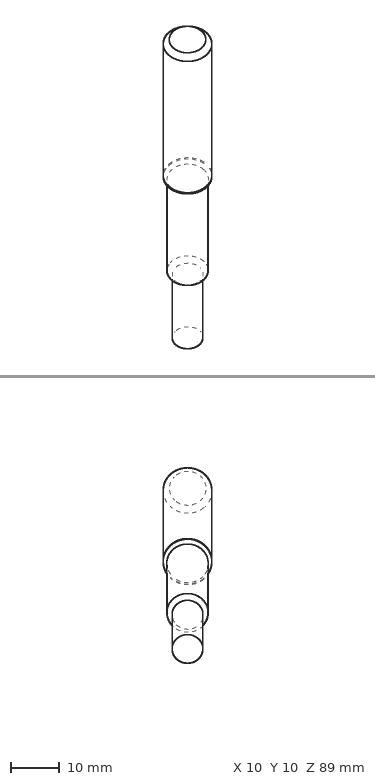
import cadquery as cq

total_length = 89.0
shank_length = 40.05
collar_length = 0.4
body_end_z = 20.7
point_height = 0.9

shank_diameter = 10.0
body_diameter = 8.45
pilot_diameter = 6.3

top_chamfer = 1.25

shank_radius = shank_diameter / 2
body_radius = body_diameter / 2
pilot_radius = pilot_diameter / 2

shank_taper = shank_radius - body_radius
body_taper = body_radius - pilot_radius

split_z = total_length - shank_length
collar_end_z = split_z - collar_length


def make_shank():
    """Plain cylindrical shank with a chamfered upper end."""
    return (
        cq.Workplane("XY")
        .workplane(offset=split_z)
        .circle(shank_radius)
        .extrude(shank_length)
        .faces(">Z")
        .chamfer(top_chamfer)
    )


def make_step_drill():
    """Stepped cutting end: collar, two tapered shoulders, the pilot and its point."""
    return (
        cq.Workplane("XZ")
        .lineTo(pilot_radius, point_height)
        .lineTo(pilot_radius, body_end_z - body_taper)
        .lineTo(body_radius, body_end_z)
        .lineTo(body_radius, collar_end_z - shank_taper)
        .lineTo(shank_radius, collar_end_z)
        .lineTo(shank_radius, split_z)
        .lineTo(0, split_z)
        .close()
        .revolve(360, (0, 0), (0, 1))
    )


shank = make_shank()
step_drill = make_step_drill()

result = cq.Compound.makeCompound([shank.val(), step_drill.val()])